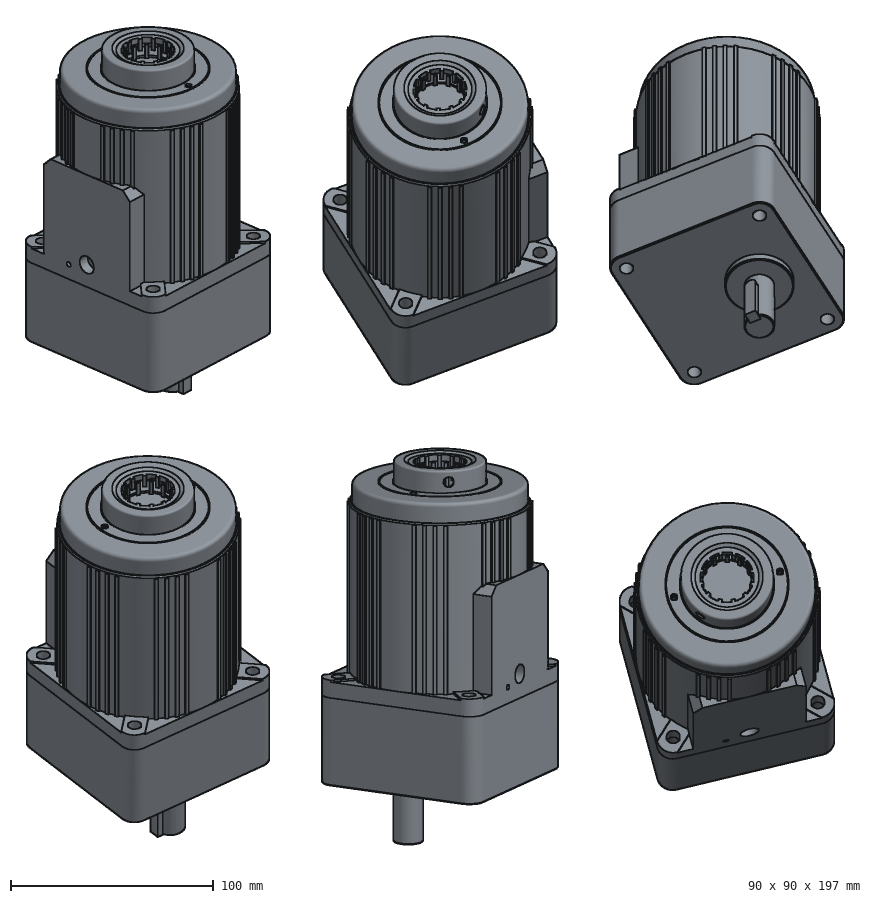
import cadquery as cq
import math

BOSS_BOTTOM = 32.0
GEARHEAD_BOTTOM = 36.0
MOTOR_BOTTOM = 81.0
FLANGE_TOP = 89.0
FRAME_TOP = 176.0
CAP_TOP = 186.0
HUB_TOP = 197.0

SQUARE = 90.0
CORNER_RADIUS = 7.9
BOLT_OFFSET = 36.8
BOLT_HOLE_DIAMETER = 6.7
PAD_WIDTH = 11.8
PAD_HEIGHT = 1.0
EDGE_CHAMFER = 0.5

SHAFT_OFFSET_Y = 18.0
SHAFT_DIAMETER = 15.0
BOSS_DIAMETER = 34.0
KEY_SIZE = 6.0
KEY_LENGTH = 25.5
KEY_OUTER_X = 10.0

FRAME_RADIUS = SQUARE / 2
FRAME_TOP_CHAMFER = 0.8
RIB_TOP = FRAME_TOP - 1.0
RIB_TIP_RADIUS = 45.9
RIB_WIDTH = 1.8
RIBS_PER_SIDE = 4
FIRST_RIB_ANGLE = 12.7
RIB_PITCH_ANGLE = 6.6

CAP_RADIUS = 43.5
CAP_FILLET = 2.0
CAP_GROOVE_RADIUS = 30.5
GROOVE_WIDTH = 0.5
GROOVE_DEPTH = 0.5
SCREW_OFFSET = 27.0
SCREW_HEAD_DIAMETER = 3.3
SCREW_HEAD_DEPTH = 1.0
SCREW_HOLE_DIAMETER = 2.0
SCREW_HOLE_DEPTH = 3.0

HUB_RADIUS = 22.9
HUB_FILLET = 1.0
COUNTERSINK_TOP_RADIUS = 17.7
COUNTERSINK_BOTTOM_RADIUS = 15.8
COUNTERSINK_DEPTH = 1.0
LEDGE_Z = HUB_TOP - COUNTERSINK_DEPTH
BORE_RADIUS = 13.2
LID_BOTTOM = HUB_TOP - 4.3
CHAMBER_RADIUS = 21.7
CHAMBER_FLOOR = CAP_TOP
WELL_FLOOR = 184.8
WELL_RADIUS = 13.0
SIDE_HOLE_DIAMETER = 5.1
SIDE_HOLE_Z = 191.3
SIDE_HOLE_ANGLE = 220

FINGER_COUNT = 12
FINGER_WIDTH = 1.8
FINGER_INNER_RADIUS = 12.0
FINGER_OVERLAP = 0.2
HANGING_FINGER_BOTTOM = HUB_TOP - 7.7
STANDING_FINGER_TOP = HUB_TOP - 4.7

BOX_WIDTH = 57.5
BOX_TOP = 144.0
BOX_CHAMFER = 4.7
CABLE_HOLE_DIAMETER = 9.5
CABLE_HOLE_Z = 93.4
CABLE_HOLE_DEPTH = 6.0
GROUND_HOLE_DIAMETER = 2.5
GROUND_HOLE_X = -12.0
GROUND_HOLE_Z = 89.2
GROUND_HOLE_DEPTH = 4.0


def cylinder(radius, bottom, top):
    """Cylinder on the motor axis between two heights."""
    return cq.Workplane("XY").workplane(offset=bottom).circle(radius).extrude(top - bottom)


def ring(inner_radius, outer_radius, bottom, top):
    """Ring on the motor axis between two heights."""
    return cylinder(outer_radius, bottom, top).cut(cylinder(inner_radius, bottom, top))


def square_block(bottom, top):
    """Square block with rounded vertical edges."""
    block = cq.Workplane("XY").workplane(offset=bottom).rect(SQUARE, SQUARE).extrude(top - bottom)
    return block.edges("|Z").fillet(CORNER_RADIUS)


def bolt_holes(bottom, top):
    """Four through-bolt holes at the corners of the square."""
    holes = cq.Workplane("XY").workplane(offset=bottom)
    holes = holes.rect(2 * BOLT_OFFSET, 2 * BOLT_OFFSET, forConstruction=True).vertices()
    return holes.circle(BOLT_HOLE_DIAMETER / 2).extrude(top - bottom)


def radial_bar(angle, inner_radius, outer_radius, width, bottom, top):
    """Upright bar reaching from one radius to another at an angle about Z."""
    length = outer_radius - inner_radius
    bar = cq.Workplane("XY").box(length, width, top - bottom, centered=(False, True, False))
    return bar.translate((inner_radius, 0, bottom)).rotate((0, 0, 0), (0, 0, 1), angle)


def make_gearhead():
    """Square gear case with the round boss below it."""
    case = square_block(GEARHEAD_BOTTOM, MOTOR_BOTTOM).faces("<Z").chamfer(EDGE_CHAMFER)
    boss = cylinder(BOSS_DIAMETER / 2, BOSS_BOTTOM, GEARHEAD_BOTTOM)
    boss = boss.faces("<Z").chamfer(EDGE_CHAMFER).translate((0, SHAFT_OFFSET_Y, 0))
    return case.union(boss).cut(bolt_holes(GEARHEAD_BOTTOM, MOTOR_BOTTOM))


def make_key():
    """Square-section key, flush with the shaft end and rounded at its upper end."""
    inner_x = KEY_OUTER_X - KEY_SIZE
    half = KEY_SIZE / 2
    straight_end = KEY_LENGTH - half
    outline = (
        cq.Workplane("YZ", origin=(inner_x, SHAFT_OFFSET_Y, 0))
        .moveTo(-half, 0)
        .lineTo(half, 0)
        .lineTo(half, straight_end)
        .threePointArc((0, KEY_LENGTH), (-half, straight_end))
        .close()
    )
    return outline.extrude(KEY_SIZE)


def make_shaft(key):
    """Output shaft with a keyway that fits the key."""
    shaft = cylinder(SHAFT_DIAMETER / 2, 0, BOSS_BOTTOM).faces("<Z").chamfer(EDGE_CHAMFER)
    return shaft.translate((0, SHAFT_OFFSET_Y, 0)).cut(key)


def make_flange():
    """Motor flange with a raised diagonal pad at each corner."""
    pad_top = FLANGE_TOP + PAD_HEIGHT
    diagonal = SQUARE * math.sqrt(2)
    flange = square_block(MOTOR_BOTTOM, FLANGE_TOP)
    for angle in (45, 135):
        pads = radial_bar(angle, -diagonal / 2, diagonal / 2, PAD_WIDTH, MOTOR_BOTTOM, pad_top)
        flange = flange.union(pads.intersect(square_block(MOTOR_BOTTOM, pad_top)))
    return flange.cut(bolt_holes(MOTOR_BOTTOM, pad_top))


def make_frame():
    """Round frame with four ribs on either side of each of the four axis directions."""
    frame = cylinder(FRAME_RADIUS, FLANGE_TOP, FRAME_TOP).faces(">Z").chamfer(FRAME_TOP_CHAMFER)
    for axis_angle in (0, 90, 180, 270):
        for index in range(RIBS_PER_SIDE):
            offset = FIRST_RIB_ANGLE + index * RIB_PITCH_ANGLE
            for angle in (axis_angle - offset, axis_angle + offset):
                rib = radial_bar(angle, CAP_RADIUS, RIB_TIP_RADIUS, RIB_WIDTH, FLANGE_TOP, RIB_TOP)
                frame = frame.union(rib)
    return frame


def make_terminal_box():
    """Box flush with the -Y face of the flange, with its two upper corners cut off."""
    box = cq.Workplane("XY").box(BOX_WIDTH, SQUARE / 2, BOX_TOP - FLANGE_TOP, centered=(True, False, False))
    return box.edges("|Y and >Z").chamfer(BOX_CHAMFER).translate((0, -SQUARE / 2, FLANGE_TOP))


def front_hole(x, z, diameter, depth):
    """Blind hole going in from the -Y face."""
    hole = cq.Workplane("XZ", origin=(x, -SQUARE / 2, z))
    return hole.circle(diameter / 2).extrude(-depth)


def make_cap():
    """End cap with a ring groove, a groove around the hub and two stepped screw holes."""
    cap = cylinder(CAP_RADIUS, FRAME_TOP, CAP_TOP).faces(">Z").edges().fillet(CAP_FILLET)
    groove_bottom = CAP_TOP - GROOVE_DEPTH
    cap = cap.cut(ring(CAP_GROOVE_RADIUS - GROOVE_WIDTH, CAP_GROOVE_RADIUS, groove_bottom, CAP_TOP))
    cap = cap.cut(ring(HUB_RADIUS, HUB_RADIUS + GROOVE_WIDTH, groove_bottom, CAP_TOP))
    screws = cap.faces(">Z").workplane(origin=(0, 0, CAP_TOP))
    screws = screws.pushPoints([(-SCREW_OFFSET, 0), (SCREW_OFFSET, 0)])
    return screws.cboreHole(SCREW_HOLE_DIAMETER, SCREW_HEAD_DIAMETER, SCREW_HEAD_DEPTH, SCREW_HOLE_DEPTH)


def make_hub():
    """Hollow hub whose outer top edge is rounded and whose bore is countersunk."""
    half_section = [
        (CHAMBER_RADIUS, CAP_TOP),
        (HUB_RADIUS, CAP_TOP),
        (HUB_RADIUS, HUB_TOP),
        (COUNTERSINK_TOP_RADIUS, HUB_TOP),
        (COUNTERSINK_BOTTOM_RADIUS, LEDGE_Z),
        (BORE_RADIUS, LEDGE_Z),
        (BORE_RADIUS, LID_BOTTOM),
        (CHAMBER_RADIUS, LID_BOTTOM),
    ]
    hub = cq.Workplane("XZ").polyline(half_section).close().revolve(360, (0, 0), (0, 1))
    outer_circle = cq.selectors.RadiusNthSelector(-1)
    hub = hub.faces(">Z").edges(outer_circle).fillet(HUB_FILLET)
    side_hole = (
        cq.Workplane("YZ")
        .circle(SIDE_HOLE_DIAMETER / 2)
        .extrude(HUB_RADIUS)
        .translate((BORE_RADIUS, 0, SIDE_HOLE_Z))
        .rotate((0, 0, 0), (0, 0, 1), SIDE_HOLE_ANGLE)
    )
    return hub.cut(side_hole)


def make_motor():
    """Flange, ribbed frame, terminal box, cap and hub as one body."""
    motor = make_flange().union(make_frame()).union(make_terminal_box())
    motor = motor.cut(front_hole(0, CABLE_HOLE_Z, CABLE_HOLE_DIAMETER, CABLE_HOLE_DEPTH))
    motor = motor.cut(front_hole(GROUND_HOLE_X, GROUND_HOLE_Z, GROUND_HOLE_DIAMETER, GROUND_HOLE_DEPTH))
    motor = motor.union(make_cap()).union(make_hub())
    motor = motor.cut(cylinder(WELL_RADIUS, WELL_FLOOR, CHAMBER_FLOOR))
    pitch = 360 / FINGER_COUNT
    for index in range(FINGER_COUNT):
        hanging = radial_bar(
            index * pitch, FINGER_INNER_RADIUS, BORE_RADIUS + FINGER_OVERLAP,
            FINGER_WIDTH, HANGING_FINGER_BOTTOM, LEDGE_Z,
        )
        standing = radial_bar(
            (index + 0.5) * pitch, FINGER_INNER_RADIUS, WELL_RADIUS,
            FINGER_WIDTH, WELL_FLOOR, STANDING_FINGER_TOP,
        )
        motor = motor.union(hanging).union(standing)
    return motor


gearhead = make_gearhead()
key = make_key()
shaft = make_shaft(key)
motor = make_motor()

result = cq.Compound.makeCompound([gearhead.val(), key.val(), shaft.val(), motor.val()])